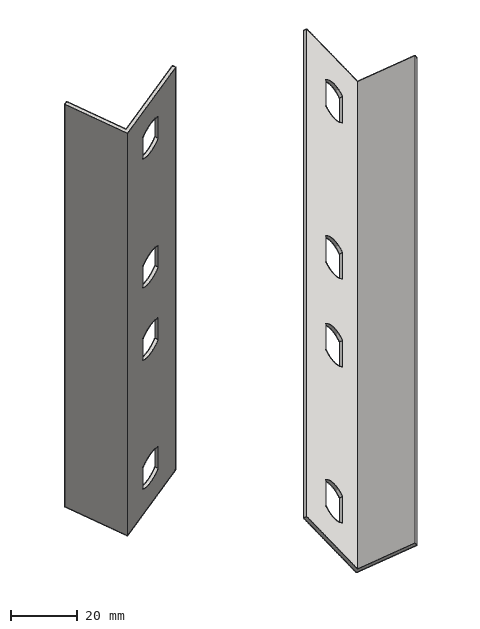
import cadquery as cq

length = 200.0
narrow_leg = 21.8
wide_leg = 28.8
thickness = 1.2

slot_height = 14.0
slot_width = 9.0
slot_center_y = 13.8
end_slot_offset = 18.0
middle_slot_pitch = 36.0


def make_angle():
    """L-section with its outer corner at +X, -Y."""
    return (
        cq.Workplane("XY")
        .moveTo(0, 0)
        .lineTo(narrow_leg, 0)
        .lineTo(narrow_leg, wide_leg)
        .lineTo(narrow_leg - thickness, wide_leg)
        .lineTo(narrow_leg - thickness, thickness)
        .lineTo(0, thickness)
        .close()
        .extrude(length)
    )


def make_slot(center_z):
    """Cutter through the wide leg, centered on its thickness."""
    cutter_depth = 2 * thickness
    leg_middle_x = narrow_leg - thickness / 2
    round_hole = cq.Workplane("YZ").circle(slot_height / 2).extrude(cutter_depth / 2, both=True)
    flat_sides = cq.Workplane("XY").box(cutter_depth, slot_width, slot_height)
    return round_hole.intersect(flat_sides).translate((leg_middle_x, slot_center_y, center_z))


result = make_angle()
middle_z = length / 2
end_slot_distance = middle_z - end_slot_offset
for distance in (end_slot_distance, middle_slot_pitch / 2):
    for side in (-1, 1):
        result = result.cut(make_slot(middle_z + side * distance))